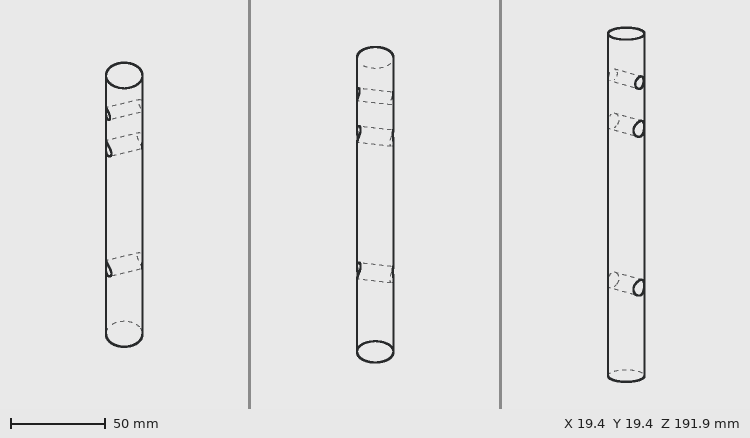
import cadquery as cq

rod_length = 191.9
rod_diameter = 19.4

small_hole_diameter = 6.7
large_hole_diameter = 8.6
small_hole_from_top = 25.3
upper_large_hole_from_top = 51.2
lower_large_hole_from_top = 140.3

cross_holes = [
    (small_hole_diameter, small_hole_from_top),
    (large_hole_diameter, upper_large_hole_from_top),
    (large_hole_diameter, lower_large_hole_from_top),
]


def cross_hole_cutter(diameter, distance_from_top):
    """Cylinder along Y that passes right through the rod."""
    height = rod_length / 2 - distance_from_top
    return (
        cq.Workplane("XZ")
        .center(0, height)
        .circle(diameter / 2)
        .extrude(rod_diameter, both=True)
    )


result = cq.Workplane("XY").cylinder(rod_length, rod_diameter / 2)

for hole_diameter, hole_distance in cross_holes:
    result = result.cut(cross_hole_cutter(hole_diameter, hole_distance))